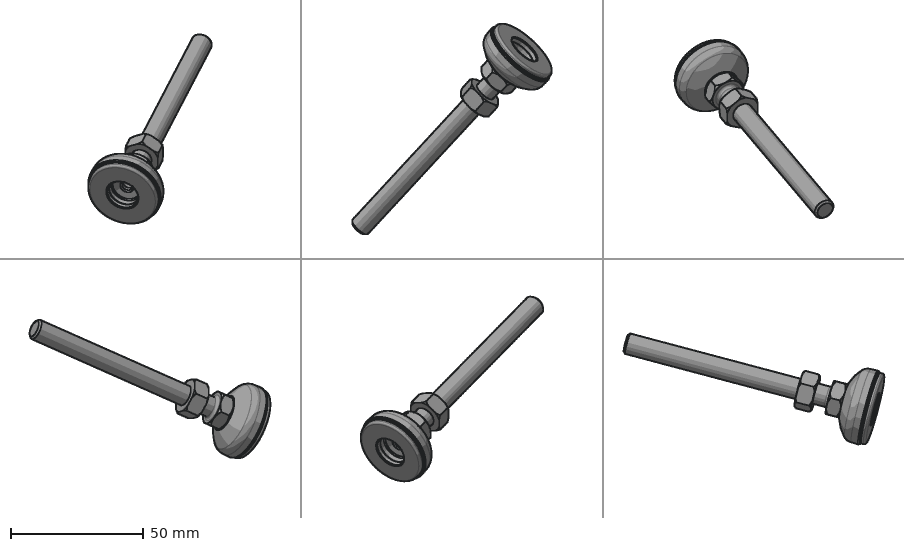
import cadquery as cq
import math


total_length = 97.9

stud_radius = 4.0
stud_tip_chamfer = 0.8
neck_fillet = 1.2
hex_across_flats = 12.9
hex_bottom = 12.2
hex_height = 5.5
hex_top = hex_bottom + hex_height
hex_turn = 49.0
hex_face_radius = 6.5
stem_radius = 5.4
stem_bottom = 4.9
dish_depth = 0.5
drill_mouth_radius = 2.6
drill_radius = 2.1
drill_depth = 2.0
drill_point_angle = 118.0

nut_across_flats = 13.0
nut_bottom = 23.4
nut_height = 6.5
nut_turn = 90.0
nut_face_radius = 6.8

housing_radius = 14.5
housing_bottom = 2.2
housing_edge_height = 0.6
housing_edge_inset = 0.3
shoulder_radius = 14.4
shoulder_height = 5.6
shoulder_fillet = 4.2
shoulder_sweep = math.radians(46.0)
housing_top_radius = 7.05
socket_radius = 5.9
socket_chamfer = socket_radius - stem_radius

pad_radius = 13.9
pad_fillet = 0.9
pad_neck_radius = 13.8
pad_neck_height = 0.3
pad_rim_height = 1.7
pad_bore_radius = 6.1
pad_bore_chamfer = 0.4


def revolve_about_y(profile):
    """Turn a closed profile, drawn as radius against height, about the Y axis."""
    return profile.close().revolve(360, (0, 0, 0), (0, 1, 0))


def chamfered_hexagon(across_flats, bottom, height, turn, face_radius):
    """Hexagonal prism along Y with 45-degree turned chamfers at both ends."""
    corner_radius = across_flats / math.sqrt(3)
    chamfer = corner_radius - face_radius
    prism = (
        cq.Workplane("XZ", origin=(0, bottom, 0))
        .polygon(6, 2 * corner_radius)
        .extrude(-height)
        .rotate((0, 0, 0), (0, 1, 0), -turn)
    )
    turned_blank = (
        cq.Workplane("XZ", origin=(0, bottom, 0))
        .circle(corner_radius)
        .extrude(-height)
        .edges()
        .chamfer(chamfer)
    )
    return prism.intersect(turned_blank)


def make_stud():
    mouth_y = stem_bottom + dish_depth
    drill_y = mouth_y + drill_mouth_radius - drill_radius
    drill_end = mouth_y + drill_depth
    drill_tip = drill_end + drill_radius / math.tan(math.radians(drill_point_angle / 2))
    shaft = revolve_about_y(
        cq.Workplane("XY")
        .moveTo(0, drill_tip)
        .lineTo(drill_radius, drill_end)
        .lineTo(drill_radius, drill_y)
        .lineTo(drill_mouth_radius, mouth_y)
        .lineTo(stem_radius, stem_bottom)
        .lineTo(stem_radius, hex_top)
        .lineTo(stud_radius + neck_fillet, hex_top)
        .radiusArc((stud_radius, hex_top + neck_fillet), neck_fillet)
        .lineTo(stud_radius, total_length - stud_tip_chamfer)
        .lineTo(stud_radius - stud_tip_chamfer, total_length)
        .lineTo(0, total_length)
    )
    hexagon = chamfered_hexagon(hex_across_flats, hex_bottom, hex_height, hex_turn, hex_face_radius)
    return shaft.union(hexagon)


def make_nut():
    blank = chamfered_hexagon(nut_across_flats, nut_bottom, nut_height, nut_turn, nut_face_radius)
    bore = cq.Workplane("XZ", origin=(0, nut_bottom, 0)).circle(stud_radius).extrude(-nut_height)
    return blank.cut(bore)


def make_housing():
    arc_centre = shoulder_radius - shoulder_fillet

    def arc_point(angle):
        return (
            arc_centre + shoulder_fillet * math.cos(angle),
            shoulder_height + shoulder_fillet * math.sin(angle),
        )

    return revolve_about_y(
        cq.Workplane("XY")
        .moveTo(socket_radius, housing_bottom)
        .lineTo(housing_radius - housing_edge_inset, housing_bottom)
        .lineTo(housing_radius, housing_bottom + housing_edge_height)
        .lineTo(shoulder_radius, shoulder_height)
        .threePointArc(arc_point(shoulder_sweep / 2), arc_point(shoulder_sweep))
        .tangentArcPoint((housing_top_radius, hex_bottom), relative=False)
        .lineTo(stem_radius, hex_bottom)
        .lineTo(stem_radius, stem_bottom)
        .lineTo(socket_radius, stem_bottom - socket_chamfer)
    )


def make_pad():
    fillet_offset = pad_fillet * (1 - math.sqrt(0.5))
    return revolve_about_y(
        cq.Workplane("XY")
        .moveTo(pad_bore_radius + pad_bore_chamfer, 0)
        .lineTo(pad_radius - pad_fillet, 0)
        .threePointArc((pad_radius - fillet_offset, fillet_offset), (pad_radius, pad_fillet))
        .lineTo(pad_radius, pad_rim_height)
        .lineTo(pad_neck_radius, housing_bottom - pad_neck_height)
        .lineTo(pad_neck_radius, housing_bottom)
        .lineTo(pad_bore_radius, housing_bottom)
        .lineTo(pad_bore_radius, pad_bore_chamfer)
    )


stud = make_stud()
nut = make_nut()
housing = make_housing()
pad = make_pad()

result = cq.Compound.makeCompound([stud.val(), nut.val(), housing.val(), pad.val()])